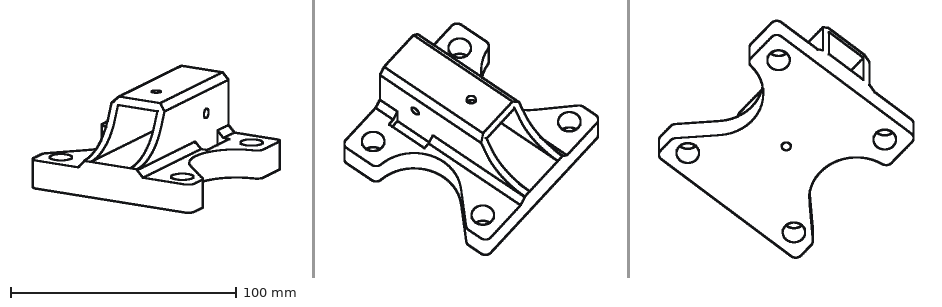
import cadquery as cq
import math

SIDE = 82.0
HALF = SIDE / 2
BASE_HEIGHT = 13.0
CORNER_RADIUS = 3.0
WAIST_RADIUS = 21.0
MOUNT_HOLE_DIAMETER = 10.0
MOUNT_HOLE_OFFSET = 31.0

HEIGHT = 40.0
SOCKET_WIDTH = 27.15
BORE_SIZE = 20.1
BORE_FLOOR = 16.5
TOP_CHAMFER = 3.0
FOOT_BEVEL = 3.0

SWEEP_RADIUS = 23.6
SWEEP_ANGLE = math.radians(65)

TOP_PIN_DIAMETER = 4.0
SIDE_PIN_DIAMETER = 4.2
SIDE_PIN_Y = 21.0
RECESS_LENGTH = 20.0
RECESS_OUTER_X = 19.7
RECESS_SINK = 5.0


def base_plate():
    """Square plate with a waist on each side: an arc leading into a 45 degree flank."""
    tangent = WAIST_RADIUS * math.sin(math.pi / 4)
    plate = cq.Workplane("XY").rect(SIDE, SIDE).extrude(BASE_HEIGHT)
    for side in (-1, 1):
        edge = side * HALF
        waist = (
            cq.Workplane("XY")
            .moveTo(edge, WAIST_RADIUS)
            .threePointArc(
                (edge - side * WAIST_RADIUS, 0),
                (edge - side * tangent, -tangent),
            )
            .lineTo(edge, -2 * tangent)
            .close()
            .extrude(BASE_HEIGHT)
        )
        plate = plate.cut(waist)
    outer_corners = plate.edges("|Z and (<X or >X)")
    return outer_corners.fillet(CORNER_RADIUS)


def socket_body():
    """Chamfered block on bevelled feet, extruded over the full depth."""
    half_width = SOCKET_WIDTH / 2
    right_side = [
        (half_width + FOOT_BEVEL, 0),
        (half_width + FOOT_BEVEL, BASE_HEIGHT),
        (half_width, BASE_HEIGHT + FOOT_BEVEL),
        (half_width, HEIGHT - TOP_CHAMFER),
        (half_width - TOP_CHAMFER, HEIGHT),
    ]
    left_side = [(-x, z) for x, z in reversed(right_side)]
    profile = cq.Workplane("XZ").polyline(right_side + left_side).close()
    return profile.extrude(HALF, both=True)


def front_sweep():
    """Space above the concave arc and the straight slope tangent to it."""
    center_z = BORE_FLOOR + SWEEP_RADIUS

    def arc_point(angle):
        return (
            -HALF + SWEEP_RADIUS * math.sin(angle),
            center_z - SWEEP_RADIUS * math.cos(angle),
        )

    arc_end = arc_point(SWEEP_ANGLE)
    slope_top_y = arc_end[0] + (HEIGHT - arc_end[1]) / math.tan(SWEEP_ANGLE)
    return (
        cq.Workplane("YZ")
        .moveTo(-HALF, BORE_FLOOR)
        .threePointArc(arc_point(SWEEP_ANGLE / 2), arc_end)
        .lineTo(slope_top_y, HEIGHT)
        .lineTo(-HALF, HEIGHT)
        .close()
        .extrude(SOCKET_WIDTH / 2, both=True)
    )


def bore():
    """Square passage through the socket from front to back."""
    return cq.Workplane("XY").box(BORE_SIZE, SIDE, BORE_SIZE).translate((0, 0, BORE_FLOOR + BORE_SIZE / 2))


def side_recess(side):
    """Pocket through one bevelled foot and down into the plate."""
    inner_x = SOCKET_WIDTH / 2
    width = RECESS_OUTER_X - inner_x
    depth = FOOT_BEVEL + RECESS_SINK
    pocket = cq.Workplane("XY").box(width, RECESS_LENGTH, depth, centered=(True, True, False))
    return pocket.translate((side * (inner_x + width / 2), SIDE_PIN_Y, BASE_HEIGHT - RECESS_SINK))


def mount_holes():
    """Four vertical holes at the corners of the plate."""
    spacing = 2 * MOUNT_HOLE_OFFSET
    return (
        cq.Workplane("XY")
        .rect(spacing, spacing, forConstruction=True)
        .vertices()
        .circle(MOUNT_HOLE_DIAMETER / 2)
        .extrude(BASE_HEIGHT)
    )


def pin_holes():
    """Central vertical hole and a cross hole at mid-height of the bore."""
    vertical = cq.Workplane("XY").circle(TOP_PIN_DIAMETER / 2).extrude(HEIGHT)
    cross = (
        cq.Workplane("YZ")
        .center(SIDE_PIN_Y, BORE_FLOOR + BORE_SIZE / 2)
        .circle(SIDE_PIN_DIAMETER / 2)
        .extrude(HALF, both=True)
    )
    return vertical.union(cross)


result = base_plate().union(socket_body())
result = result.cut(front_sweep()).cut(bore())
for recess_side in (-1, 1):
    result = result.cut(side_recess(recess_side))
result = result.cut(mount_holes()).cut(pin_holes())